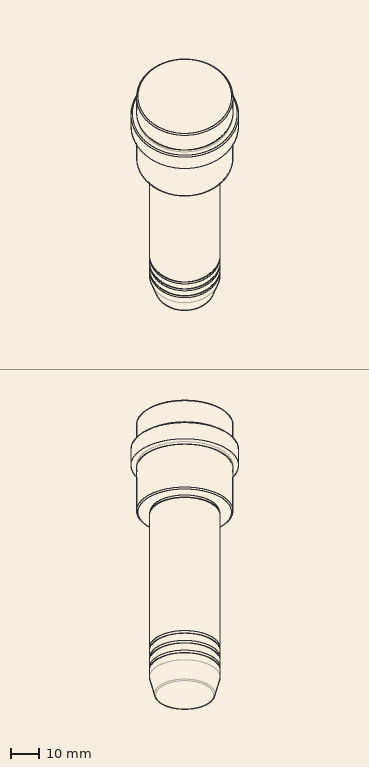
import cadquery as cq
import math

total_length = 110.0
shaft_radius = 25.0 / 2
collar_radius = 34.0 / 2
flange_radius = 38.0 / 2

collar_bottom = 74.0
flange_bottom = 93.0
flange_top = 100.0

taper_height = 7.2
taper_angle = 15.0
tip_fillet = 0.5

rim_chamfer = 0.5

groove_radius = 0.5
tip_groove_count = 3
tip_groove_pitch = 4.0
lowest_tip_groove = 10.6

relief_height = 1.0
relief_depth = 0.28


def cylinder(radius, bottom, top):
    """Solid cylinder on the pillar axis between two heights."""
    return cq.Workplane("XY").workplane(offset=bottom).circle(radius).extrude(top - bottom)


def round_groove(radius, height):
    """Ring cutter whose round section is centred on a cylinder of the given radius."""
    section = cq.Workplane("XZ").center(radius, height).circle(groove_radius)
    return section.revolve(360, (-radius, 0), (-radius, 1))


def make_shaft():
    """Shaft with a rounded conical tip, a relief under the collar and ring grooves."""
    tip_radius = shaft_radius - taper_height * math.tan(math.radians(taper_angle))
    relief_radius = shaft_radius - relief_depth
    relief_bottom = collar_bottom - relief_height
    profile = [
        (0, 0),
        (tip_radius, 0),
        (shaft_radius, taper_height),
        (shaft_radius, relief_bottom),
        (relief_radius, relief_bottom),
        (relief_radius, flange_bottom),
        (0, flange_bottom),
    ]
    shaft = cq.Workplane("XZ").polyline(profile).close().revolve(360, (0, 0), (0, 1))
    shaft = shaft.faces("<Z").edges().fillet(tip_fillet)
    for index in range(tip_groove_count):
        height = lowest_tip_groove + index * tip_groove_pitch
        shaft = shaft.cut(round_groove(shaft_radius, height))
    return shaft


def make_collar_and_head():
    """Collar and head of one diameter, with chamfered ends and grooves beside the flange."""
    body = cylinder(collar_radius, collar_bottom, total_length)
    body = body.faces("<Z or >Z").edges().chamfer(rim_chamfer)
    for height in (flange_bottom - groove_radius, flange_top + groove_radius):
        body = body.cut(round_groove(collar_radius, height))
    return body


def make_flange():
    """Flange with its upper rim chamfered."""
    flange = cylinder(flange_radius, flange_bottom, flange_top)
    return flange.faces(">Z").edges().chamfer(rim_chamfer)


pillar = make_collar_and_head().union(make_flange()).union(make_shaft())
result = pillar.solids()